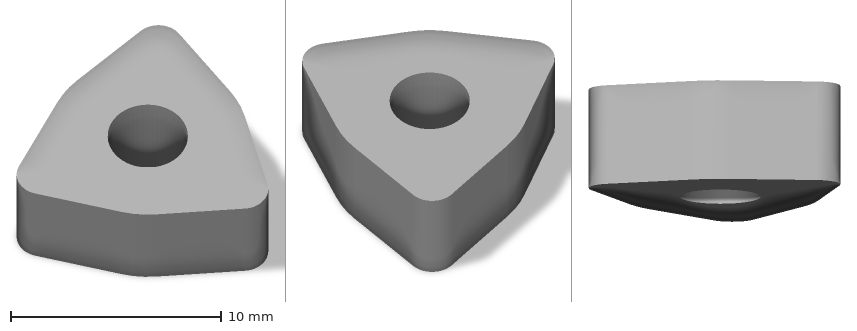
import cadquery as cq
import math

inscribed_diameter = 9.525
thickness = 4.76
hole_diameter = 3.81
corner_radius = 1.2
corner_angle = 80.0
corner_count = 3
first_corner_direction = 220.0

inscribed_radius = inscribed_diameter / 2
corner_pitch = 360.0 / corner_count
normal_offset = 90.0 - corner_angle / 2
corner_center_distance = (inscribed_radius - corner_radius) / math.cos(math.radians(normal_offset))


def polar(distance, angle):
    """Point at a distance and an angle in degrees from the insert axis."""
    return (distance * math.cos(math.radians(angle)), distance * math.sin(math.radians(angle)))


def corner_point(corner_direction, normal_angle):
    """Point on a corner arc where its outward normal has the given angle."""
    center_x, center_y = polar(corner_center_distance, corner_direction)
    offset_x, offset_y = polar(corner_radius, normal_angle)
    return (center_x + offset_x, center_y + offset_y)


def trigon_outline():
    """Corner arcs joined by straight edges to arcs of the inscribed circle."""
    outline = cq.Workplane("XY").moveTo(
        *corner_point(first_corner_direction, first_corner_direction - normal_offset)
    )
    for index in range(corner_count):
        corner = first_corner_direction + index * corner_pitch
        next_corner = corner + corner_pitch
        leaving_normal = corner + normal_offset
        arriving_normal = next_corner - normal_offset
        side_middle = (leaving_normal + arriving_normal) / 2
        outline = outline.threePointArc(
            corner_point(corner, corner), corner_point(corner, leaving_normal)
        )
        outline = outline.lineTo(*polar(inscribed_radius, leaving_normal))
        outline = outline.threePointArc(
            polar(inscribed_radius, side_middle), polar(inscribed_radius, arriving_normal)
        )
        if index < corner_count - 1:
            outline = outline.lineTo(*corner_point(next_corner, arriving_normal))
    return outline.close()


body = trigon_outline().extrude(thickness)
clamping_hole = cq.Workplane("XY").circle(hole_diameter / 2).extrude(thickness)

result = body.cut(clamping_hole)